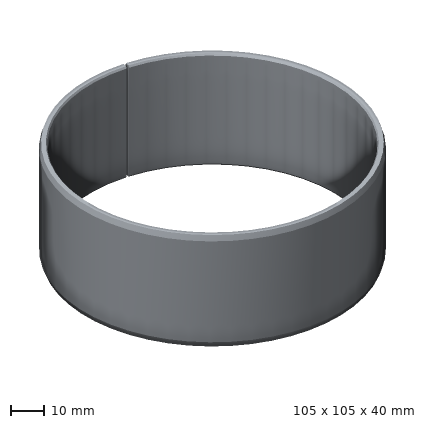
import cadquery as cq

outer_diameter = 105.0
wall = 2.5
height = 40.0

chamfer_height = 1.9
chamfer_depth = 0.6

bevel_height = 0.6
bevel_depth = 0.4

split_angle = 1.0

outer_radius = outer_diameter / 2
inner_radius = outer_radius - wall
top = height / 2

wall_section = (
    cq.Workplane("XZ")
    .moveTo(-inner_radius, -top + bevel_height)
    .lineTo(-inner_radius - bevel_depth, -top)
    .lineTo(-outer_radius + chamfer_depth, -top)
    .lineTo(-outer_radius, -top + chamfer_height)
    .lineTo(-outer_radius, top - chamfer_height)
    .lineTo(-outer_radius + chamfer_depth, top)
    .lineTo(-inner_radius - bevel_depth, top)
    .lineTo(-inner_radius, top - bevel_height)
    .close()
)

result = wall_section.revolve(360 - split_angle, (0, 0, 0), (0, 1, 0))